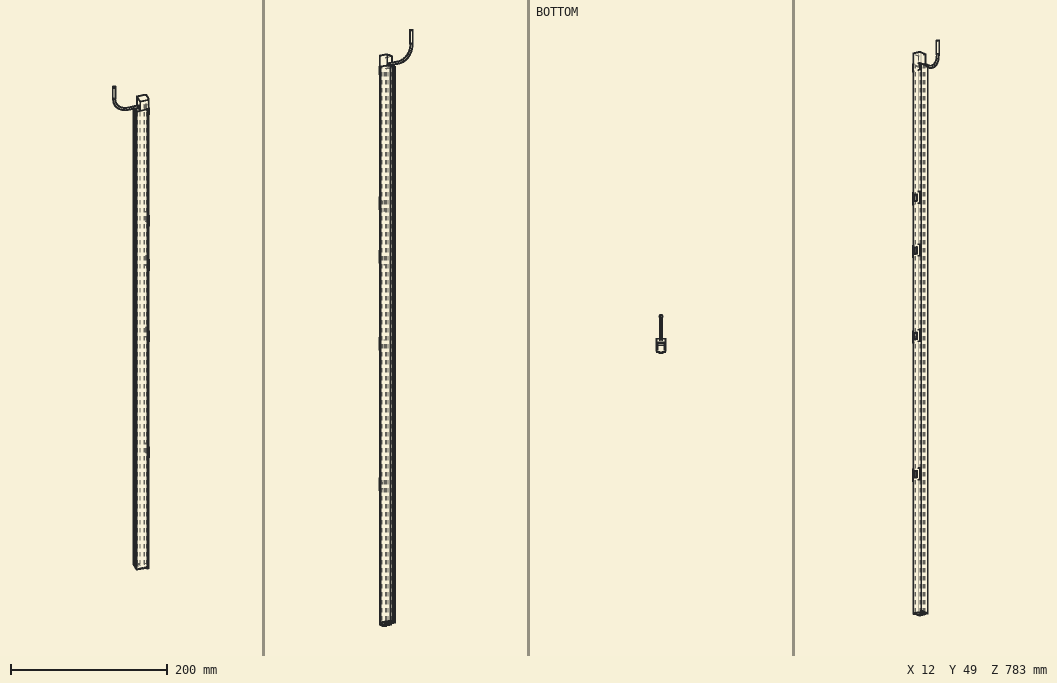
import cadquery as cq


width = 12.0
overall_depth = 49.0
overall_height = 783.0

housing_bottom = 2.0
housing_top = 740.0
housing_depth = 14.0
channel_width = 8.0
channel_floor = 5.0
front_groove_width = 2.0
front_groove_depth = 1.5

core_top = 755.0
back_thickness = 3.0
back_corner_radius = 2.0
foot_slot_depth = 2.0
foot_slot_width = 2.0
foot_slot_y = 7.0

button_heights = [559.0, 488.0, 373.0, 186.0]
button_length = 9.0
button_width = 4.0
button_rise = 1.5
button_pad_length = 16.0
end_pad_length = 9.5
pad_width = 11.0

cable_diameter = 3.0
cable_z = 743.0
cable_bend_radius = 20.0
sleeve_diameter = 4.0
sleeve_length = 18.0

back_y = housing_depth + back_thickness
button_y = back_y + button_rise
cable_end_y = button_y - overall_depth + sleeve_diameter / 2


def box(x_size, y_from, y_to, z_from, z_to):
    """A block centred on X = 0."""
    return (
        cq.Workplane("XY", origin=(0, y_from, z_from))
        .box(x_size, y_to - y_from, z_to - z_from, centered=(True, False, False))
    )


def cable_path():
    """Out of the head toward -Y, then a quarter turn up to the top."""
    return (
        cq.Workplane("YZ")
        .moveTo(channel_floor, cable_z)
        .lineTo(cable_end_y + cable_bend_radius, cable_z)
        .radiusArc((cable_end_y, cable_z + cable_bend_radius), cable_bend_radius)
        .lineTo(cable_end_y, overall_height)
    )


def make_cable():
    wire = cq.Workplane("XZ", origin=(0, channel_floor, cable_z)).circle(cable_diameter / 2).sweep(cable_path())
    sleeve = (
        cq.Workplane("XY", origin=(0, cable_end_y, overall_height - sleeve_length))
        .circle(sleeve_diameter / 2)
        .extrude(sleeve_length)
    )
    return wire.union(sleeve)


def make_housing():
    outer = box(width, 0, housing_depth, housing_bottom, housing_top)
    channel = box(channel_width, channel_floor, housing_depth, housing_bottom, housing_top)
    groove = box(front_groove_width, 0, front_groove_depth, housing_bottom, housing_top)
    return outer.cut(channel).cut(groove)


def make_pad(z_from, z_to):
    """A flat that squares off the rounded back between its corners."""
    return box(pad_width, housing_depth, back_y, z_from, z_to)


def make_button(z):
    """A narrow raised button standing on a flat pad, both centred on height z."""
    pad = make_pad(z - button_pad_length / 2, z + button_pad_length / 2)
    tip = box(button_width, housing_depth, button_y, z - button_length / 2, z + button_length / 2)
    return pad.union(tip)


def make_core(cable):
    tongue = box(channel_width, channel_floor, housing_depth, 0, core_top)
    back = box(width, housing_depth, back_y, 0, core_top).edges("|Z and >Y").fillet(back_corner_radius)
    head = box(width, channel_floor, housing_depth, housing_top, core_top)
    slot_front = foot_slot_y - foot_slot_width / 2
    slot = box(width, slot_front, slot_front + foot_slot_width, 0, foot_slot_depth)
    core = tongue.union(back).union(head).cut(slot)
    for z in button_heights:
        core = core.union(make_button(z))
    core = core.union(make_pad(housing_top - end_pad_length, housing_top))
    return core.cut(cable)


cable = make_cable()
housing = make_housing()
core = make_core(cable)

result = cq.Compound.makeCompound([housing.val(), core.val(), cable.val()])